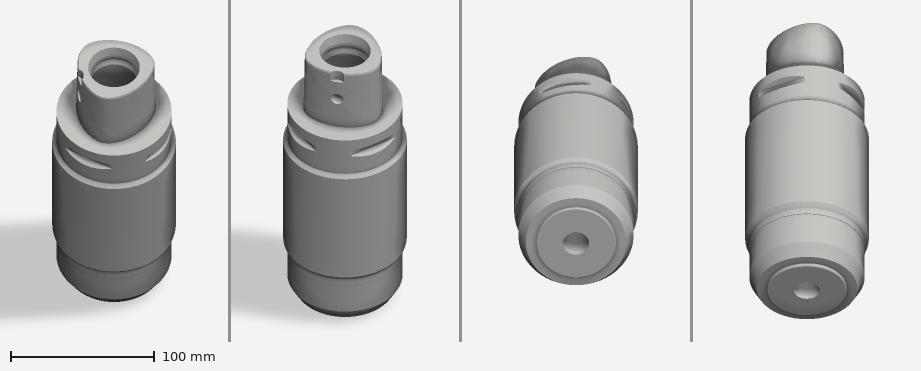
import cadquery as cq
import math

total_height = 215.5
shoulder_z = 167.8

flange_radius = 40.0
barrel_radius = 42.97
collar_radius = 40.5
nose_radius = 35.0
lip_radius = 27.8
lip_chamfer = 0.6

lip_z = 2.4
nose_cone_top_z = 11.6
collar_bottom_z = 36.2
collar_top_z = 41.5
barrel_bottom_z = 45.2
barrel_top_z = 134.8
barrel_chamfer_top_z = 137.5

shank_base_radius = 27.68
shank_top_radius = 26.7
lobe_height = 2.0
shank_edge_height = 1.3
shank_edge_inset = 0.54
outline_points = 36

groove_z = 155.5
groove_floor_distance = 35.5
groove_floor_height = 4.0
groove_mouth_height = 9.0
groove_length = 64.6

through_radius = 9.0
bore_radius = 16.2
mouth_radius = 17.9
mouth_cone_bottom_z = 209.0
undercut_radius = 18.7
undercut_top_z = 206.5
undercut_bottom_z = 199.2
bore_floor_z = 167.8

notch_radius = 5.5
notch_apex_y = -22.0
notch_depth = 7.8
side_hole_radius = 4.5
side_hole_z = 192.5
side_hole_floor_distance = 18.7


def turned_body():
    profile = [
        (0, 0),
        (lip_radius - lip_chamfer, 0),
        (lip_radius, lip_chamfer),
        (lip_radius, lip_z),
        (nose_radius, lip_z),
        (flange_radius, nose_cone_top_z),
        (flange_radius, collar_bottom_z),
        (collar_radius, collar_bottom_z),
        (collar_radius, collar_top_z),
        (barrel_radius, barrel_bottom_z),
        (barrel_radius, barrel_top_z),
        (flange_radius, barrel_chamfer_top_z),
        (flange_radius, shoulder_z),
        (0, shoulder_z),
    ]
    return cq.Workplane("XZ").polyline(profile).close().revolve(360, (0, 0), (0, 1))


def lobed_outline(z, radius):
    """Constant-width three-lobed wire with one lobe on +Y."""
    points = []
    for i in range(outline_points):
        angle = 2 * math.pi * i / outline_points
        along = radius * math.cos(angle) + lobe_height * (2 * math.cos(2 * angle) - math.cos(4 * angle))
        across = radius * math.sin(angle) - lobe_height * (2 * math.sin(2 * angle) + math.sin(4 * angle))
        points.append(cq.Vector(-across, along, z))
    return cq.Wire.assembleEdges([cq.Edge.makeSpline(points, periodic=True)])


def shank():
    edge_z = total_height - shank_edge_height
    base = lobed_outline(shoulder_z, shank_base_radius)
    edge = lobed_outline(edge_z, shank_top_radius)
    top = lobed_outline(total_height, shank_top_radius - shank_edge_inset)
    taper = cq.Workplane(cq.Solid.makeLoft([base, edge], True))
    return taper.union(cq.Workplane(cq.Solid.makeLoft([edge, top], True)))


def gripper_groove(angle):
    section = [
        (groove_floor_distance, groove_z - groove_floor_height / 2),
        (flange_radius, groove_z - groove_mouth_height / 2),
        (flange_radius, groove_z + groove_mouth_height / 2),
        (groove_floor_distance, groove_z + groove_floor_height / 2),
    ]
    groove = cq.Workplane("XZ").polyline(section).close().extrude(groove_length / 2, both=True)
    return groove.rotate((0, 0, 0), (0, 0, 1), angle)


def stepped_bore():
    undercut_lead = undercut_radius - bore_radius
    profile = [
        (0, 0),
        (through_radius, 0),
        (through_radius, bore_floor_z),
        (bore_radius, bore_floor_z),
        (bore_radius, undercut_bottom_z),
        (undercut_radius, undercut_bottom_z + undercut_lead),
        (undercut_radius, undercut_top_z),
        (bore_radius, undercut_top_z),
        (bore_radius, mouth_cone_bottom_z),
        (mouth_radius, total_height),
        (0, total_height),
    ]
    return cq.Workplane("XZ").polyline(profile).close().revolve(360, (0, 0), (0, 1))


def key_notch():
    floor = cq.Workplane("XY").workplane(offset=total_height - notch_depth)
    return floor.center(0, notch_apex_y - notch_radius).circle(notch_radius).extrude(notch_depth)


def side_hole():
    start = cq.Workplane("XZ").workplane(offset=side_hole_floor_distance).center(0, side_hole_z)
    return start.circle(side_hole_radius).extrude(flange_radius - side_hole_floor_distance)


result = turned_body().union(shank())
for diagonal in (45, 135, 225, 315):
    result = result.cut(gripper_groove(diagonal))
result = result.cut(stepped_bore()).cut(key_notch()).cut(side_hole())